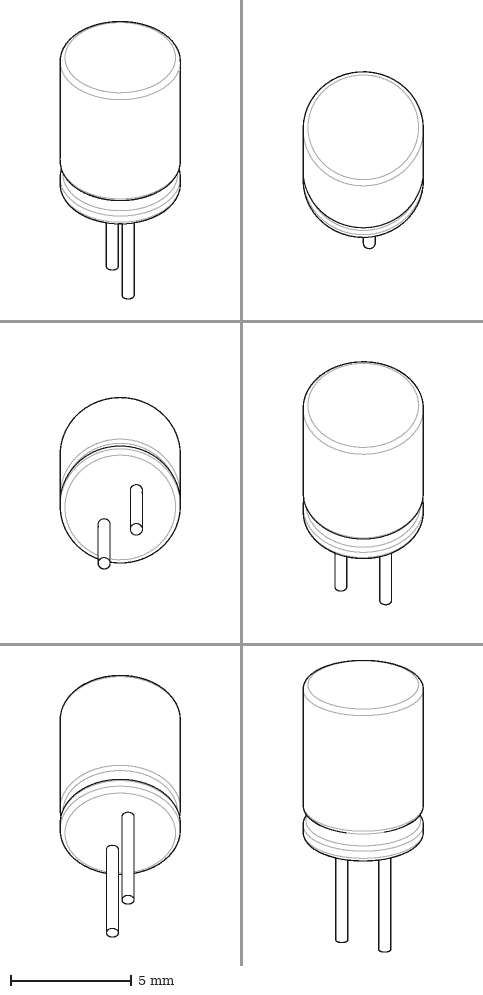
import cadquery as cq

total_height = 12.0
can_diameter = 5.0
can_height = 7.0
edge_radius = 0.2
groove_radius = 0.3
groove_height = 1.0
lead_diameter = 0.5
lead_spacing = 2.0

can_radius = can_diameter / 2
lead_length = total_height - can_height


def make_can():
    """Can with its base at Z = 0, all its circular edges rounded."""
    can = cq.Workplane("XY").circle(can_radius).extrude(can_height)
    groove_ring = cq.Workplane(
        obj=cq.Solid.makeTorus(can_radius, groove_radius, cq.Vector(0, 0, groove_height))
    )
    return can.cut(groove_ring).edges("%CIRCLE").fillet(edge_radius)


def make_leads():
    """Two straight leads hanging below the can base."""
    lead_centres = [(-lead_spacing / 2, 0), (lead_spacing / 2, 0)]
    return (
        cq.Workplane("XY")
        .pushPoints(lead_centres)
        .circle(lead_diameter / 2)
        .extrude(-lead_length)
    )


result = make_can().union(make_leads())